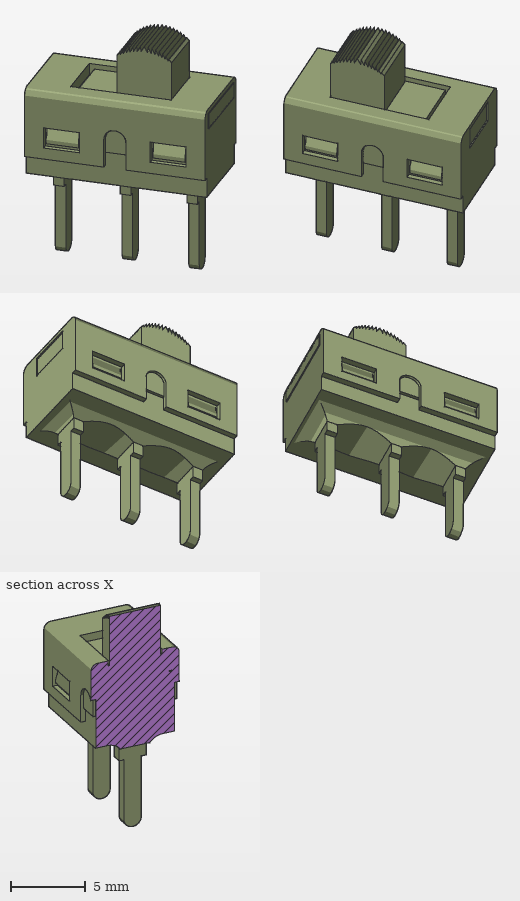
import cadquery as cq
import math

total_height = 16.51

body_length = 12.7
body_width = 5.88
body_bottom = 6.6
shell_width = 6.6
shell_bottom = 7.97
shell_top = 12.93
shell_bend_radius = 0.53
shell_wall = (shell_width - body_width) / 2

opening_length = 7.07
opening_width = 4.0
opening_depth = shell_wall
gap_length = 0.36
gap_depth = 0.83

handle_length = 3.85
handle_width = 3.81
handle_center = (opening_length - handle_length) / 2
crest_radius = 2.51
crest_pitch_angle = 6.2
crests_per_side = 7
root_arch_radius = 3.57
root_arch_drop = 0.38
root_undercut = 0.05

window_spacing = 7.5
window_length = 2.51
window_bottom = 8.78
window_top = 10.25
catch_length = 2.26
catch_bottom = 9.05
catch_bend = 9.31
catch_top = 10.05
catch_reach = 0.2

slot_width = 1.55
slot_top = 10.73
boss_clearance = 0.05
boss_bottom = 9.0
boss_reach = 0.18

recess_width = 3.3
recess_bottom = 11.1
recess_top = 12.63
recess_depth = 0.1
pad_width = 5.4
pad_bottom = 11.52
pad_top = 12.61
pad_thickness = 0.07

pin_spacing = 4.69
pin_positions = [-pin_spacing, 0, pin_spacing]
pin_thickness = 0.75
pin_width = 1.3
shoulder_width = 2.03
shoulder_bottom = 5.1

sealant_radius = 2.4 / 2
sealant_depth = 0.58
sealant_thinnest = 0.2
sealant_run = math.sqrt(sealant_radius**2 - (sealant_radius - sealant_depth) ** 2)


def block(x_range, y_range, z_range):
    """Box between the given limits."""
    size = [high - low for low, high in (x_range, y_range, z_range)]
    corner = (x_range[0], y_range[0], z_range[0])
    return cq.Workplane("XY").box(*size, centered=False).translate(corner)


def centered_block(length, width, z_range, x=0):
    """Box centred on Y = 0 and on the given X."""
    return block((x - length / 2, x + length / 2), (-width / 2, width / 2), z_range)


def both_sides(solid):
    """The solid together with its mirror image on the +Y side."""
    return solid.union(solid.mirror("XZ"))


def make_housing():
    body = centered_block(body_length, body_width, (body_bottom, shell_top - shell_wall))
    shell = centered_block(body_length, shell_width, (shell_bottom, shell_top))
    shell = shell.edges("|X and >Z").fillet(shell_bend_radius)
    return body.union(shell)


def make_opening():
    floor = shell_top - opening_depth
    opening = centered_block(opening_length, opening_width, (floor, shell_top))
    gap_center = (gap_length - opening_length) / 2
    gap = centered_block(gap_length, opening_width, (shell_top - gap_depth, shell_top), gap_center)
    return opening.union(gap)


def crest(index):
    """Tip of a serration, counted outwards from the middle one."""
    angle = math.radians(index * crest_pitch_angle)
    drop = crest_radius * (1 - math.cos(angle))
    return crest_radius * math.sin(angle), total_height - drop


def root(index):
    """Bottom of the notch just inside the serration of the same index."""
    x = crest(index)[0] - root_undercut
    drop = root_arch_drop + root_arch_radius - math.sqrt(root_arch_radius**2 - x**2)
    return x, total_height - drop


def make_handle():
    half_length = handle_length / 2
    edge_drop = crest_radius - math.sqrt(crest_radius**2 - half_length**2)
    base = shell_top - opening_depth
    right_side = []
    for index in range(1, crests_per_side + 1):
        right_side += [root(index), crest(index)]
    right_side += [(half_length, total_height - edge_drop), (half_length, base)]
    left_side = [(-x, z) for x, z in reversed(right_side)]
    outline = left_side + [crest(0)] + right_side
    handle = cq.Workplane("XZ").polyline(outline).close().extrude(handle_width / 2, both=True)
    return handle.translate((handle_center, 0, 0))


def round_topped(width, bottom, top, y_range):
    """Upright plate with a half-round top, lying between two Y limits."""
    radius = width / 2
    return (
        cq.Workplane("XZ", origin=(0, y_range[1], 0))
        .moveTo(-radius, bottom)
        .lineTo(-radius, top - radius)
        .threePointArc((0, top), (radius, top - radius))
        .lineTo(radius, bottom)
        .close()
        .extrude(y_range[1] - y_range[0])
    )


def make_side_cutouts():
    depth_range = (-shell_width / 2, -body_width / 2)
    cutouts = round_topped(slot_width, shell_bottom, slot_top, depth_range)
    for x in (-window_spacing / 2, window_spacing / 2):
        x_range = (x - window_length / 2, x + window_length / 2)
        cutouts = cutouts.union(block(x_range, depth_range, (window_bottom, window_top)))
    return both_sides(cutouts)


def make_catch(x):
    face = -body_width / 2
    outline = [
        (face, catch_top),
        (face - catch_reach, catch_bend),
        (face - catch_reach, catch_bottom),
        (face, catch_bottom),
    ]
    start = (x - catch_length / 2, 0, 0)
    return cq.Workplane("YZ", origin=start).polyline(outline).close().extrude(catch_length)


def make_side_projections():
    boss_width = slot_width - 2 * boss_clearance
    face = -body_width / 2
    projections = round_topped(boss_width, boss_bottom, slot_top, (face - boss_reach, face))
    for x in (-window_spacing / 2, window_spacing / 2):
        projections = projections.union(make_catch(x))
    return both_sides(projections)


def make_end_recess():
    face = -body_length / 2
    y_range = (-recess_width / 2, recess_width / 2)
    return block((face, face + recess_depth), y_range, (recess_bottom, recess_top))


def make_end_pad():
    face = body_length / 2
    y_range = (-pad_width / 2, pad_width / 2)
    return block((face, face + pad_thickness), y_range, (pad_bottom, pad_top))


def make_pin(x):
    shoulder = centered_block(pin_thickness, shoulder_width, (shoulder_bottom, body_bottom), x)
    tip_radius = pin_width / 2
    blade = (
        cq.Workplane("YZ", origin=(x - pin_thickness / 2, 0, 0))
        .moveTo(-tip_radius, shoulder_bottom)
        .lineTo(-tip_radius, tip_radius)
        .threePointArc((0, 0), (tip_radius, tip_radius))
        .lineTo(tip_radius, shoulder_bottom)
        .close()
        .extrude(pin_thickness)
    )
    return shoulder.union(blade)


def flare_midpoint(foot, direction):
    """Middle of the arc from the foot of the sealant up to its tangent run-out on the body underside."""
    half_angle = math.acos(1 - sealant_depth / sealant_radius) / 2
    run = sealant_run - sealant_radius * math.sin(half_angle)
    drop = sealant_radius * (1 - math.cos(half_angle))
    return foot + direction * run, body_bottom - drop


def make_sealant():
    low = body_bottom - sealant_depth
    half_pin = pin_thickness / 2
    left_foot = pin_positions[0] - half_pin
    right_foot = pin_positions[-1] + half_pin

    lengthwise = cq.Workplane("XZ").moveTo(left_foot - sealant_run, body_bottom)
    lengthwise = lengthwise.threePointArc(flare_midpoint(left_foot, -1), (left_foot, low))
    for x, next_x in zip(pin_positions, pin_positions[1:]):
        saddle = ((x + next_x) / 2, body_bottom - sealant_thinnest)
        lengthwise = lengthwise.lineTo(x + half_pin, low)
        lengthwise = lengthwise.threePointArc(saddle, (next_x - half_pin, low))
    lengthwise = lengthwise.lineTo(right_foot, low)
    lengthwise = lengthwise.threePointArc(
        flare_midpoint(right_foot, 1), (right_foot + sealant_run, body_bottom)
    )
    lengthwise = lengthwise.close().extrude(body_width / 2, both=True)

    foot = shoulder_width / 2
    crosswise = (
        cq.Workplane("YZ")
        .moveTo(-foot - sealant_run, body_bottom)
        .threePointArc(flare_midpoint(-foot, -1), (-foot, low))
        .lineTo(foot, low)
        .threePointArc(flare_midpoint(foot, 1), (foot + sealant_run, body_bottom))
        .close()
        .extrude(body_length / 2, both=True)
    )
    return lengthwise.intersect(crosswise)


result = make_housing().cut(make_side_cutouts()).cut(make_opening()).cut(make_end_recess())
result = result.union(make_side_projections()).union(make_end_pad())
result = result.union(make_handle()).union(make_sealant())
for pin_x in pin_positions:
    result = result.union(make_pin(pin_x))